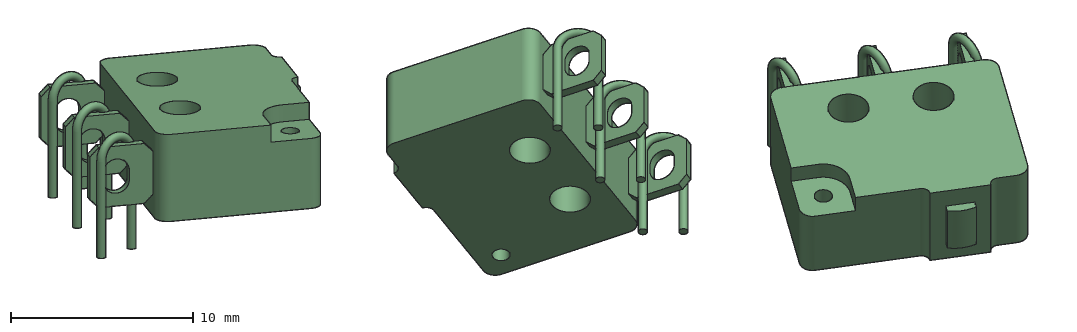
import cadquery as cq
import math

width = 12.8
depth = 9.43
height = 5.1
corner_radius = 0.75

land_rise = 0.46
land_left = 2.3
land_right = 5.71

mount_hole_count = 2
mount_hole_diameter = 2.25
mount_hole_pitch = 4.77
mount_hole_left = 4.0
mount_hole_front = 2.35

step_size = 3.0
step_radius = 1.5
step_depth = 1.0
step_hole_diameter = 1.0
step_hole_inset = 1.5

plunger_width = 1.63
plunger_length = 2.81
plunger_rise = 0.53
plunger_crown = 0.14

terminal_count = 3
terminal_pitch = 5.07
terminal_thickness = 0.5
terminal_length = 3.61
terminal_height = 3.51
terminal_chamfer = 0.5
eye_width = 1.49
eye_height = 2.0
eye_center = 2.09

wire_diameter = 0.5
wire_center = 2.02
wire_half_span_x = 0.5
wire_half_span_y = 1.0
wire_drop = 2.01
arch_base_height = 3.62

center_x = width / 2
center_z = height / 2
land_y = depth + land_rise
plunger_x = (land_left + land_right) / 2


def make_housing():
    """Rounded block with a land, mounting holes and a stepped corner."""
    block = cq.Workplane("XY").box(width, depth, height, centered=False)
    block = block.edges("|Z").fillet(corner_radius)
    land = (
        cq.Workplane("XY")
        .moveTo(land_left - land_rise, depth)
        .radiusArc((land_left, land_y), -land_rise)
        .lineTo(land_right, land_y)
        .radiusArc((land_right + land_rise, depth), -land_rise)
        .close()
        .extrude(height)
    )
    mount_hole_centers = [
        (mount_hole_left + i * mount_hole_pitch, mount_hole_front)
        for i in range(mount_hole_count)
    ]
    mount_holes = (
        cq.Workplane("XY")
        .pushPoints(mount_hole_centers)
        .circle(mount_hole_diameter / 2)
        .extrude(height)
    )
    step = (
        cq.Workplane("XY")
        .box(step_size, step_size, step_depth, centered=False)
        .edges("|Z and <X and <Y")
        .fillet(step_radius)
        .translate((width - step_size, depth - step_size, height - step_depth))
    )
    step_hole = (
        cq.Workplane("XY")
        .center(width - step_hole_inset, depth - step_hole_inset)
        .circle(step_hole_diameter / 2)
        .extrude(height)
    )
    return block.union(land).cut(mount_holes).cut(step).cut(step_hole)


def make_plunger():
    """Button with a crowned top, standing on the land."""
    left = plunger_x - plunger_width / 2
    right = plunger_x + plunger_width / 2
    top = land_y + plunger_rise
    shoulder = top - plunger_crown
    return (
        cq.Workplane("XY")
        .workplane(offset=center_z - plunger_length / 2)
        .moveTo(left, land_y)
        .lineTo(right, land_y)
        .lineTo(right, shoulder)
        .threePointArc((plunger_x, top), (left, shoulder))
        .close()
        .extrude(plunger_length)
    )


def make_wire(x):
    """Round wire hooked over a terminal: two legs joined by a half-circle arch."""
    half_span = math.hypot(wire_half_span_x, wire_half_span_y)
    leg_length = arch_base_height + wire_drop
    leg_offset = cq.Vector(wire_half_span_x, -wire_half_span_y, 0)
    arch_plane = cq.Plane(
        origin=(x, -wire_center, arch_base_height),
        xDir=leg_offset,
        normal=(0, 0, 1),
    )
    legs = (
        cq.Workplane(arch_plane)
        .pushPoints([(-half_span, 0), (half_span, 0)])
        .circle(wire_diameter / 2)
        .extrude(-leg_length)
    )
    arch = (
        cq.Workplane(arch_plane)
        .center(half_span, 0)
        .circle(wire_diameter / 2)
        .revolve(180, (-half_span, 0), (-half_span, -1))
    )
    return legs.union(arch)


def make_terminal(x, wire):
    """Flat chamfered tab with an eye, relieved where the wire arch rests on it."""
    tab = (
        cq.Workplane("XY")
        .box(terminal_thickness, terminal_length, terminal_height)
        .edges("|X")
        .chamfer(terminal_chamfer)
        .translate((x, -terminal_length / 2, center_z))
    )
    eye = (
        cq.Workplane("YZ", origin=(x, -eye_center, center_z))
        .slot2D(eye_height, eye_width, 90)
        .extrude(terminal_thickness, both=True)
    )
    return tab.cut(eye).cut(wire)


housing = make_housing()
plunger = make_plunger()
wires = []
terminals = []
for i in range(terminal_count):
    terminal_x = center_x + (i - (terminal_count - 1) / 2) * terminal_pitch
    wire = make_wire(terminal_x)
    wires.append(wire.val())
    terminals.append(make_terminal(terminal_x, wire).val())

result = cq.Compound.makeCompound([housing.val(), plunger.val(), *terminals, *wires])